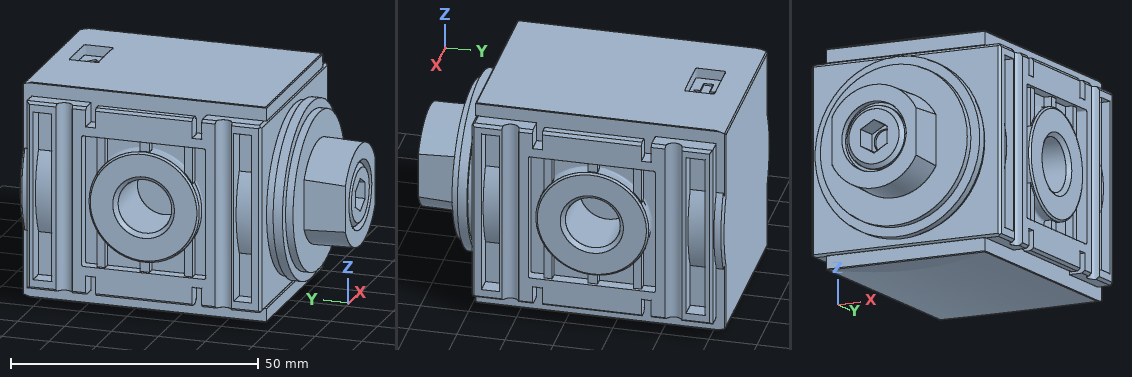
import cadquery as cq
import math

body_width = 43.0
body_height = 40.0
body_half_length = 25.0
cover_back = 27.0
knob_tip = cover_back - 66
body_chamfer_side = 0.5
body_chamfer_top = 0.65
body_chamfer_back = 0.65
side_face = body_width / 2

cover_width = 36.0
cover_half = cover_width / 2
cover_edge_z = 23.0
cover_crown_z = 24.1
slope_start = 21.1
cover_edge_chamfer = 0.2
cover_side_bevel = 0.05
cover_back_chamfer = 0.25

core_radius = 20.0
core_chamfer = 0.5

collar_steps = ((36.0, 1.65), (37.4, 2.0), (33.4, 1.6))
knob_base_radius = 10.95
knob_tip_radius = 10.75
knob_flats = 19.15
knob_bore_diameter = 14.6
plug_diameter = 13.15
plug_nose_diameter = 11.4
plug_gap_depth = 1.65
hex_flats = 6.0
hex_depth = 5.0
hex_drill_diameter = 5.0
hex_drill_depth = 0.65

groove_diameter = 3.5
groove_y = 16.95
slot_height = 35.8
back_slot = (19.6, 23.55)
front_slot = (-23.0, -19.2)

clip_half_length = 12.35
rail_half_length = 10.3
clip_floor_z = 15.9
rail_inner_face = 18.75
rail_inner_chamfer = 0.7

window_length = 26.4
window_height = 27.85
window_depth = 2.4
window_fillet = 0.4
bar_inner_y = 8.45
bar_outer_y = 10.15
bar_recess = 0.7
rib_width = 2.0
boss_diameter = 23.5
boss_chamfer = 0.4
boss_root_fillet = 0.4
port_diameter = 11.4
port_mouth_diameter = 13.15
port_depth = 13.2

label_length = 9.9
label_width = 6.2
label_y = 18.35
label_floor_z = 21.8
label_fillet = 0.4
arrow_reach = 3.0
arrow_neck_x = 0.1
arrow_shaft_half = 1.0
arrow_head_half = 2.3
arrow_depth = 0.4


def block(x_range, y_range, z_range):
    """Box between the given limits along each axis."""
    size = [limits[1] - limits[0] for limits in (x_range, y_range, z_range)]
    corner = (x_range[0], y_range[0], z_range[0])
    return cq.Workplane("XY").box(*size, centered=False).translate(corner)


def disc_y(diameter, y_start, length):
    """Cylinder about the Y axis, running from y_start toward -Y."""
    return cq.Workplane("XZ", origin=(0, y_start, 0)).circle(diameter / 2).extrude(length)


def make_body():
    length = 2 * body_half_length
    body = cq.Workplane("XY").box(body_width, length, body_height)
    body = body.faces("<Y").chamfer(body_chamfer_side)
    body = body.edges("|Z and >Y").chamfer(body_chamfer_back, body_chamfer_side)
    bevel = (
        cq.Workplane("XZ", origin=(0, body_half_length, 0))
        .rect(body_width, body_height)
        .extrude(length)
        .edges("|Y")
        .chamfer(body_chamfer_top, body_chamfer_side)
    )
    return body.intersect(bevel)


def make_cover():
    arc_end_x = cover_half - cover_side_bevel
    side_z = cover_edge_z - cover_edge_chamfer
    profile = (
        cq.Workplane("XZ", origin=(0, cover_back, 0))
        .moveTo(-cover_half, -side_z)
        .lineTo(-cover_half, side_z)
        .lineTo(-arc_end_x, cover_edge_z)
        .threePointArc((0, cover_crown_z), (arc_end_x, cover_edge_z))
        .lineTo(cover_half, side_z)
        .lineTo(cover_half, -side_z)
        .lineTo(arc_end_x, -cover_edge_z)
        .threePointArc((0, -cover_crown_z), (-arc_end_x, -cover_edge_z))
        .close()
        .extrude(cover_back + body_half_length)
    )
    slope = (cover_crown_z - cover_edge_z) / (body_half_length - slope_start)
    back_z = cover_crown_z - slope * (cover_back - slope_start)
    sloped = (
        cq.Workplane("YZ", origin=(-cover_half, 0, 0))
        .polyline([
            (-body_half_length, cover_edge_chamfer - cover_edge_z),
            (-body_half_length, cover_edge_z - cover_edge_chamfer),
            (cover_edge_chamfer - body_half_length, cover_edge_z),
            (-slope_start, cover_crown_z),
            (slope_start, cover_crown_z),
            (cover_back, back_z),
            (cover_back, -back_z),
            (slope_start, -cover_crown_z),
            (-slope_start, -cover_crown_z),
            (cover_edge_chamfer - body_half_length, -cover_edge_z),
        ])
        .close()
        .extrude(cover_width)
    )
    front_bevel_room = block(
        (-cover_half, cover_half),
        (-body_half_length, body_chamfer_side - body_half_length),
        (-body_height / 2, body_height / 2),
    )
    cover = profile.intersect(sloped).cut(front_bevel_room)
    return cover.faces(">Y").chamfer(cover_back_chamfer)


def make_core():
    back_disc = disc_y(2 * core_radius, cover_back, cover_back - back_slot[0])
    back_disc = back_disc.faces(">Y").chamfer(core_chamfer)
    front_disc = disc_y(2 * core_radius, front_slot[1], front_slot[1] - front_slot[0])
    return back_disc.union(front_disc)


def make_front_end():
    start = -body_half_length
    front = None
    for diameter, length in collar_steps:
        step = disc_y(diameter, start, length)
        front = step if front is None else front.union(step)
        start -= length
    knob_length = start - knob_tip
    knob = (
        cq.Workplane("XZ", origin=(0, start, 0))
        .circle(knob_base_radius)
        .workplane(offset=knob_length)
        .circle(knob_tip_radius)
        .loft()
    )
    flats = block(
        (-knob_flats / 2, knob_flats / 2),
        (knob_tip, start),
        (-knob_base_radius, knob_base_radius),
    )
    knob = knob.intersect(flats)
    gap_start = knob_tip + plug_gap_depth
    knob = knob.cut(disc_y(knob_bore_diameter, gap_start, plug_gap_depth))
    plug = disc_y(plug_diameter, gap_start, plug_gap_depth)
    plug = plug.faces("<Y").chamfer((plug_diameter - plug_nose_diameter) / 2)
    hexagon = (
        cq.Workplane("XZ", origin=(0, knob_tip + hex_depth, 0))
        .polygon(6, hex_flats, circumscribed=True)
        .extrude(hex_depth)
    )
    drill = disc_y(hex_drill_diameter, knob_tip + hex_depth + hex_drill_depth, hex_drill_depth)
    return front.union(knob).union(plug).cut(hexagon).cut(drill)


def make_side_cuts():
    """Grooves, slots, clip gaps and port window of the -X side."""
    cuts = cq.Workplane("XY")
    half_height = body_height / 2
    for y in (-groove_y, groove_y):
        groove = (
            cq.Workplane("XY", origin=(-side_face, y, -half_height))
            .circle(groove_diameter / 2)
            .extrude(body_height)
        )
        cuts = cuts.add(groove)
    for y_range in (back_slot, front_slot):
        slot = block((-side_face, -cover_half), y_range, (-slot_height / 2, slot_height / 2))
        cuts = cuts.add(slot)

    clip_y = (-clip_half_length, clip_half_length)
    rail_y = (-rail_half_length, rail_half_length)
    clip_z = (clip_floor_z, half_height)
    clip = block((-side_face, -cover_half), clip_y, clip_z)
    rail = block((-side_face, -rail_inner_face), rail_y, clip_z)
    rail = rail.edges(">X and >Z").chamfer(rail_inner_chamfer)
    clip = clip.cut(rail)
    cuts = cuts.add(clip).add(clip.mirror("XY"))

    window = (
        cq.Workplane("YZ", origin=(-side_face, 0, 0))
        .rect(window_length, window_height)
        .extrude(window_depth)
        .edges("|X")
        .fillet(window_fillet)
    )
    bar_x = (bar_recess - side_face, window_depth - side_face)
    bar_z = (-half_height, half_height)
    back_bar = (bar_inner_y, bar_outer_y)
    front_bar = (-bar_outer_y, -bar_inner_y)
    middle_rib = (-rib_width / 2, rib_width / 2)
    for y_range in (back_bar, middle_rib, front_bar):
        window = window.cut(block(bar_x, y_range, bar_z))
    return cuts.add(window).combine()


def make_port_boss():
    radius = boss_diameter / 2
    floor_x = window_depth - side_face
    root_x = floor_x - boss_root_fillet
    bulge = boss_root_fillet * (1 - math.sqrt(0.5))
    return (
        cq.Workplane("XY")
        .moveTo(floor_x, 0)
        .lineTo(-side_face, 0)
        .lineTo(-side_face, radius - boss_chamfer)
        .lineTo(boss_chamfer - side_face, radius)
        .lineTo(root_x, radius)
        .threePointArc((floor_x - bulge, radius + bulge), (floor_x, radius + boss_root_fillet))
        .close()
        .revolve(360, (0, 0, 0), (1, 0, 0))
    )


def make_port_bore():
    radius = port_diameter / 2
    mouth_radius = port_mouth_diameter / 2
    end_x = port_depth - side_face
    return (
        cq.Workplane("XY")
        .polyline([
            (-side_face, 0),
            (-side_face, mouth_radius),
            (mouth_radius - radius - side_face, radius),
            (end_x, radius),
            (end_x, 0),
        ])
        .close()
        .revolve(360, (0, 0, 0), (1, 0, 0))
    )


def make_label_cut():
    recess = (
        cq.Workplane("XY", origin=(0, label_y, label_floor_z))
        .rect(label_length, label_width)
        .extrude(cover_crown_z - label_floor_z)
        .edges("|Z")
        .fillet(label_fillet)
    )
    arrow = (
        cq.Workplane("XY", origin=(0, label_y, label_floor_z))
        .polyline([
            (-arrow_reach, -arrow_shaft_half),
            (arrow_neck_x, -arrow_shaft_half),
            (arrow_neck_x, -arrow_head_half),
            (arrow_reach, 0),
            (arrow_neck_x, arrow_head_half),
            (arrow_neck_x, arrow_shaft_half),
            (-arrow_reach, arrow_shaft_half),
        ])
        .close()
        .extrude(-arrow_depth)
    )
    return recess.union(arrow)


side_cuts = make_side_cuts()
port_boss = make_port_boss()
port_bore = make_port_bore()

result = make_body().cut(side_cuts).cut(side_cuts.mirror("YZ"))
result = result.union(make_cover()).union(make_core()).union(make_front_end())
result = result.union(port_boss).union(port_boss.mirror("YZ"))
result = result.cut(port_bore).cut(port_bore.mirror("YZ")).cut(make_label_cut())